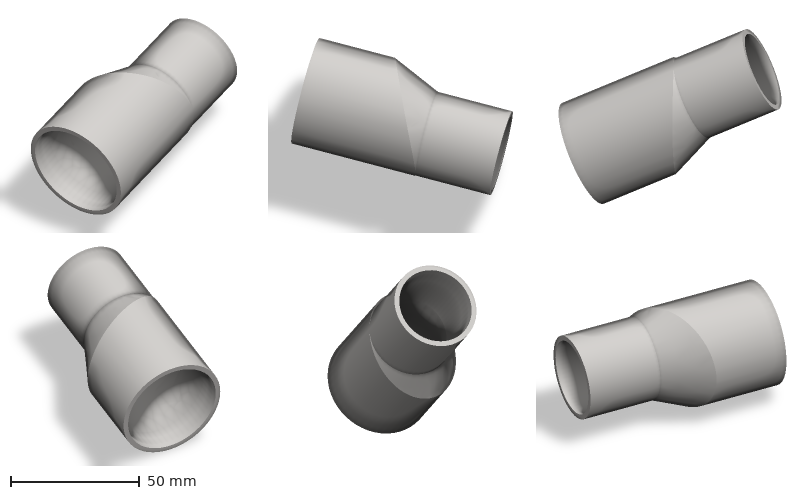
import cadquery as cq

length = 80.0
large_diameter = 42.4
large_bore = 38.4
small_diameter = 33.7
small_bore = 29.7
small_length = 30.0
cone_length = 20.0
socket_depth = 10.0
taper_steps = 8

small_start = length - small_length
eccentricity = (large_diameter - small_diameter) / 2
cone_slope = 2 * eccentricity / cone_length


def cylinder_along_y(diameter, start, end, x_offset=0):
    """Cylinder between two positions along Y."""
    return cq.Workplane("XZ", origin=(x_offset, start, 0)).circle(diameter / 2).extrude(start - end)


def outer_body():
    """Small pipe, and a large pipe trimmed by a cone coaxial with the small pipe."""
    end_radius = small_diameter / 2
    base_radius = end_radius + cone_slope * small_start
    cone = cq.Solid.makeCone(
        base_radius,
        end_radius,
        small_start,
        pnt=cq.Vector(eccentricity, 0, 0),
        dir=cq.Vector(0, 1, 0),
    )
    large_pipe = cylinder_along_y(large_diameter, 0, small_start).intersect(cq.Workplane(cone))
    return large_pipe.union(cylinder_along_y(small_diameter, small_start, length, eccentricity))


def taper():
    """S-shaped bore transition, flush on +X, easing into the straight bores at both ends."""
    taper_length = small_start - socket_depth
    sections = []
    for step in range(taper_steps + 1):
        travel = step / taper_steps
        blend = travel**2 * (3 - 2 * travel)
        diameter = large_bore + blend * (small_bore - large_bore)
        centre = cq.Vector(blend * eccentricity, socket_depth + travel * taper_length, 0)
        sections.append(cq.Wire.makeCircle(diameter / 2, centre, cq.Vector(0, 1, 0)))
    return cq.Workplane(cq.Solid.makeLoft(sections))


def bore():
    """Large socket, eccentric taper and small bore."""
    socket = cylinder_along_y(large_bore, 0, socket_depth)
    small_hole = cylinder_along_y(small_bore, small_start, length, eccentricity)
    return socket.union(taper()).union(small_hole)


result = outer_body().cut(bore())